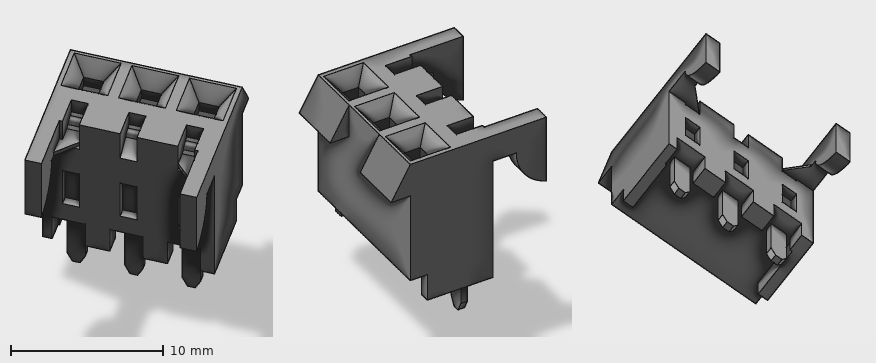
import cadquery as cq
import math


way_count = 3
pitch = 3.95
width = 11.79
body_depth = 6.34
body_height = 9.38

arm_thickness = 1.15
arm_reach = 4.07
arm_height = 2.05
hook_length = 2.3
hook_drop = 3.1

gusset_thickness = 0.32
gusset_reach = 1.29

barb_width = 3.97
barb_reach = 1.46
barb_height = 2.55

socket_y = 4.6
mouth_x = 3.21
mouth_y = 3.04
hole_x = 1.38
hole_y = 1.19
funnel_depth = 1.1
socket_depth = 1.9

slot_width = 1.16
slot_depth = 2.01
slot_back_drop = 1.15
slot_front_drop = 2.33
rib_back_y = 1.8
rib_front_y = 1.26

window_top_drop = 4.72
window_height = 3.15
window_depth = 0.6

foot_height = 2.05
foot_depth = 1.3
foot_gap = 2.27
foot_gap_offset = -0.15
side_wall_thickness = 0.77
side_wall_depth = 5.04

pin_width = 1.26
pin_thickness = 0.5
pin_y = 1.19
pin_tip_z = -14.48
pin_tip_width = 0.52
pin_taper = 0.74

half_width = width / 2
body_bottom = -body_height
foot_bottom = body_bottom - foot_height
way_positions = [(i - (way_count - 1) / 2) * pitch for i in range(way_count)]


def box(x_min, x_max, y_min, y_max, z_min, z_max):
    """Box between two corners."""
    size = (x_max - x_min, y_max - y_min, z_max - z_min)
    return cq.Workplane("XY").box(*size, centered=False).translate((x_min, y_min, z_min))


def slab(profile, x_min, x_max):
    """Extrude a YZ profile from x_min to x_max."""
    return profile.extrude(x_max - x_min).translate((x_min, 0, 0))


def slot_floor_z(y):
    """Height of the sloped slot floor, which falls toward the front."""
    fall = slot_front_drop - slot_back_drop
    return -slot_front_drop + fall * y / slot_depth


def make_arm(x_min):
    """Arm with a hook whose rounded inner side starts vertical."""
    hook_radius = (hook_length**2 + hook_drop**2) / (2 * hook_length)
    half_sweep = math.asin(hook_drop / hook_radius) / 2
    hook_y = hook_length - arm_reach
    arc_middle = (
        hook_y - hook_radius * (1 - math.cos(half_sweep)),
        -arm_height - hook_radius * math.sin(half_sweep),
    )
    profile = (
        cq.Workplane("YZ")
        .moveTo(0, 0)
        .lineTo(0, -arm_height)
        .lineTo(hook_y, -arm_height)
        .threePointArc(arc_middle, (-arm_reach, -arm_height - hook_drop))
        .lineTo(-arm_reach, 0)
        .close()
    )
    return slab(profile, x_min, x_min + arm_thickness)


def make_barb(x_min):
    """Wedge behind the rear wall with a flat underside."""
    rear = body_depth + barb_reach
    profile = cq.Workplane("YZ").polyline(
        [(body_depth, 0), (rear, -barb_height), (body_depth, -barb_height)]
    ).close()
    return slab(profile, x_min, x_min + barb_width)


def make_socket(x):
    """Funnel-shaped mouth leading into a blind rectangular hole."""
    funnel = (
        cq.Workplane("XY")
        .rect(mouth_x, mouth_y)
        .workplane(offset=-funnel_depth)
        .rect(hole_x, hole_y)
        .loft(ruled=True)
    )
    hole = cq.Workplane("XY").rect(hole_x, hole_y).extrude(-socket_depth)
    return funnel.union(hole).translate((x, socket_y, 0))


def make_slot(x):
    """Slot open to the top and front, above the sloped floor and its rib."""
    rib_back_z = slot_floor_z(rib_back_y)
    rib_front_z = slot_floor_z(rib_front_y)
    run = rib_back_y - rib_front_y
    fall = rib_back_z - rib_front_z
    rib_radius = (run**2 + fall**2) / (2 * fall)
    half_sweep = math.atan2(fall, run)
    rib_middle = (
        rib_back_y - rib_radius * math.sin(half_sweep),
        rib_back_z - rib_radius * (1 - math.cos(half_sweep)),
    )
    profile = (
        cq.Workplane("YZ")
        .moveTo(0, 0)
        .lineTo(slot_depth, 0)
        .lineTo(slot_depth, -slot_back_drop)
        .lineTo(rib_back_y, rib_back_z)
        .threePointArc(rib_middle, (rib_front_y, rib_front_z))
        .lineTo(0, -slot_front_drop)
        .close()
    )
    return slab(profile, x - slot_width / 2, x + slot_width / 2)


def make_gusset(side):
    """Thin web from an outer slot to the neighbouring arm (side is -1 or 1)."""
    slot_inner_x = side * (way_positions[-1] - slot_width / 2)
    slot_outer_x = side * (way_positions[-1] + slot_width / 2)
    arm_x = side * (half_width - arm_thickness)
    free_edge_end_y = abs(arm_x - slot_inner_x) - gusset_reach
    outline = [
        (slot_inner_x, rib_front_y),
        (slot_outer_x, rib_front_y),
        (slot_outer_x, 0),
        (arm_x, 0),
        (arm_x, -gusset_reach),
        (slot_inner_x, free_edge_end_y),
    ]
    web = cq.Workplane("XY").polyline(outline).close().extrude(gusset_thickness)
    return web.translate((0, 0, -arm_height))


def make_feet():
    """Two side walls, with a row of front feet separated by gaps at the pins."""
    feet = box(-half_width, half_width, 0, foot_depth, foot_bottom, body_bottom)
    for x in way_positions:
        gap_start = x + foot_gap_offset - foot_gap / 2
        feet = feet.cut(box(gap_start, gap_start + foot_gap, 0, foot_depth, foot_bottom, body_bottom))
    for wall_x in (-half_width, half_width - side_wall_thickness):
        feet = feet.union(
            box(
                wall_x, wall_x + side_wall_thickness,
                foot_depth, side_wall_depth,
                foot_bottom, body_bottom,
            )
        )
    return feet


def make_pin(x):
    """Flat pin with a tapered tip."""
    taper_z = pin_tip_z + pin_taper
    outline = [
        (-pin_width / 2, body_bottom),
        (-pin_width / 2, taper_z),
        (-pin_tip_width / 2, pin_tip_z),
        (pin_tip_width / 2, pin_tip_z),
        (pin_width / 2, taper_z),
        (pin_width / 2, body_bottom),
    ]
    pin = cq.Workplane("XZ").polyline(outline).close().extrude(-pin_thickness)
    return pin.translate((x, pin_y, 0))


housing = box(-half_width, half_width, 0, body_depth, body_bottom, 0).union(make_feet())
for arm_start in (-half_width, half_width - arm_thickness):
    housing = housing.union(make_arm(arm_start))
for barb_x in (-half_width, half_width - barb_width):
    housing = housing.union(make_barb(barb_x))

for x in way_positions:
    window_top = -window_top_drop
    window = box(
        x - slot_width / 2, x + slot_width / 2,
        0, window_depth,
        window_top - window_height, window_top,
    )
    housing = housing.cut(make_socket(x)).cut(make_slot(x)).cut(window).union(make_pin(x))

for side in (-1, 1):
    housing = housing.union(make_gusset(side))

result = housing